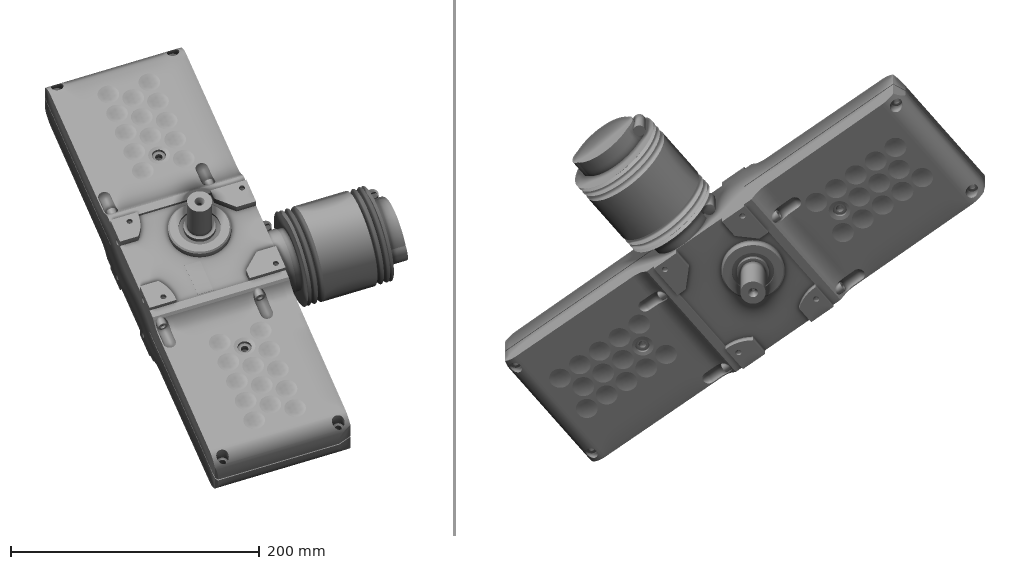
import cadquery as cq
import math

OVERALL_LENGTH = 404.0
BODY_DEPTH = 116.5

BOX_HALF_WIDTH = 46.0
BOX_HALF_HEIGHT = 27.5
PAD_TOP = 33.5
PAD_INNER_X = 23.5
REAR_PAD_START = 85.5
REAR_PAD_CHAMFER = 14.0
FRONT_PAD_SIDE_DEPTH = 23.0
FRONT_PAD_INNER_DEPTH = 15.8
FRONT_PAD_CROWN = (33.0, 21.0)
PAD_HOLE_X = 39.5
PAD_HOLES_Y = (14.0, 110.3)
PAD_HOLE_DIAMETER = 5.0
FACE_HOLE_X = 30.5
FACE_HOLE_Z = 24.2
FACE_HOLE_DIAMETER = 6.0
THREAD_DEPTH = 8.0
DRILL_POINT_ANGLE = 118
PLATE_LENGTH = 30.7
PLATE_WIDTH = 13.5
PLATE_THICKNESS = 0.2
PLATE_CENTRE = (28.0, 49.0)

SHAFT_X = -15.0
SHAFT_Y = 65.0
SHAFT_DIAMETER = 20.0
SHAFT_HALF_LENGTH = 69.0
FLANGE_DIAMETER = 51.0
FLANGE_TOP = 33.5
FLANGE_CHAMFER = 1.2
SEAL_DIAMETER = 34.0
SEAL_DEPTH = 2.0
COLLAR_DIAMETER = 26.0
COLLAR_TOP = 35.0
CENTRE_HOLE_DIAMETER = 3.2
CENTRE_SINK_DIAMETER = 8.0
CENTRE_HOLE_DEPTH = 12.0
CENTRE_SINK_ANGLE = 60

ROOT_HALF_HEIGHT = 30.0
ROOT_EDGE_X = 53.5
ROOT_CHAMFER = (2.0, 1.5)
ROOT_BLEND_X = 68.0
BROAD_HALF_HEIGHT = 22.5
NOSE_HALF_HEIGHT = 21.5
NOSE_RADIUS = 15.8
REAR_CORNER = (4.0, 11.0)
FRONT_CORNER = (3.0, 1.5)
SEAM_WIDTH = 1.2
SEAM_DEPTH = 1.2
TIP_HOLE_X = 194.0
TIP_HOLES_Y = (8.5, 107.5)
TIP_HOLE_DIAMETER = 5.5
TIP_BORE_DIAMETER = 10.0
TIP_BORE_FLOOR = 10.0
DIMPLE_PITCH = 20.0
DIMPLE_DIAMETER = 17.5
DIMPLE_DEPTH = 1.2
DIMPLE_CENTRE_X = 131.0
DIMPLE_CENTRE_Y = 61.5
DIMPLES_PER_OUTER_ROW = 5
VALVE_SEAT_DIAMETER = 11.5
VALVE_SEAT_DEPTH = 3.2
VALVE_HOLE_DIAMETER = 6.0
VALVE_HOLE_DEPTH = 8.0
SCREW_Z = 24.0
SCREWS_Y = (6.0, 89.3)
SCALLOP_RADIUS = 5.3
SCALLOP_END_X = 81.5
SCREW_HEAD_DIAMETER = 8.0
SCREW_HEAD_X = 60.5
SCREW_SOCKET_DIAMETER = 4.5
SCREW_SOCKET_DEPTH = 2.0

COUPLING_X = 17.5
COUPLING_END = 220.0
COUPLING_RADIUS = 40.0
DRUM_START = 145.5
DRUM_END = 190.5
LIP_OFFSETS = (5.5, 11.0, 14.0)
VALLEY_RADII = (32.5, 30.7, 36.5)
INNER_HUB_RADIUS = 27.0
INNER_HUB_NECK_RADIUS = 26.3
INNER_HUB_NECK_START = 126.0
OUTER_HUB_HALF_HEIGHT = 23.0
OUTER_HUB_HALF_WIDTH = 30.7
OUTER_HUB_CORNER = (25.5, 9.5)
CLAMP_SCREW_OFFSET = 31.5
CLAMP_SCREW_DIAMETER = 9.5
CLAMP_SCREW_HALF_LENGTH = 9.5
DRIVE_SLOT_WIDTH = 2.5
DRIVE_SLOT_LENGTH = 6.5
DRIVE_SLOT_DEPTH = 2.0

HALF_LENGTH = OVERALL_LENGTH / 2
NOSE_START_X = HALF_LENGTH - NOSE_RADIUS
NOSE_FLAT_HALF_HEIGHT = NOSE_HALF_HEIGHT - NOSE_RADIUS
SHAFT_BOTH_SIDES = 2 * SHAFT_HALF_LENGTH
DIMPLE_ROW_PITCH = DIMPLE_PITCH * math.sqrt(3) / 2
DRUM_MIDDLE = (DRUM_START + DRUM_END) / 2
BELLOWS_START = DRUM_START - LIP_OFFSETS[-1]
BELLOWS_END = DRUM_END + LIP_OFFSETS[-1]


def cylinder(diameter, length, base, direction):
    """Solid cylinder that starts at base and runs along direction."""
    return cq.Workplane(cq.Solid.makeCylinder(diameter / 2, length, cq.Vector(*base), cq.Vector(*direction)))


def drilled_hole(diameter, depth, mouth, direction):
    """Blind hole with a conical drill point."""
    point_depth = diameter / 2 / math.tan(math.radians(DRILL_POINT_ANGLE / 2))
    outline = [(0, 0), (diameter / 2, 0), (diameter / 2, depth), (0, depth + point_depth)]
    tool = cq.Workplane("XZ").polyline(outline).close().revolve(360, (0, 0), (0, 1))
    plane = cq.Plane(origin=mouth, normal=direction)
    return cq.Workplane(tool.val().located(cq.Location(plane)))


def with_mirror(shape, plane):
    """The shape together with its mirror image about a plane through the origin."""
    return shape.union(shape.mirror(plane))


def mounting_pads():
    """Two left pads on the upper face, repeated to the right and on the lower face."""
    height = PAD_TOP - BOX_HALF_HEIGHT
    upper_face = cq.Workplane("XY").workplane(offset=BOX_HALF_HEIGHT)
    rear = (
        upper_face.moveTo(-BOX_HALF_WIDTH, BODY_DEPTH)
        .lineTo(-PAD_INNER_X, BODY_DEPTH)
        .lineTo(-PAD_INNER_X, REAR_PAD_START + REAR_PAD_CHAMFER)
        .lineTo(-PAD_INNER_X - REAR_PAD_CHAMFER, REAR_PAD_START)
        .lineTo(-BOX_HALF_WIDTH, REAR_PAD_START)
        .close()
        .extrude(height)
    )
    crown_x, crown_y = FRONT_PAD_CROWN
    front = (
        upper_face.moveTo(-BOX_HALF_WIDTH, 0)
        .lineTo(-PAD_INNER_X, 0)
        .lineTo(-PAD_INNER_X, FRONT_PAD_INNER_DEPTH)
        .threePointArc((-crown_x, crown_y), (-BOX_HALF_WIDTH, FRONT_PAD_SIDE_DEPTH))
        .close()
        .extrude(height)
    )
    pads = rear.union(front)
    for y in PAD_HOLES_Y:
        pads = pads.cut(drilled_hole(PAD_HOLE_DIAMETER, height / 2, (-PAD_HOLE_X, y, PAD_TOP), (0, 0, -1)))
    return with_mirror(with_mirror(pads, "YZ"), "XY")


def bearing_flange():
    """Upper bearing flange with its seal recess, repeated on the lower face."""
    height = FLANGE_TOP - BOX_HALF_HEIGHT
    flange = (
        cylinder(FLANGE_DIAMETER, height, (SHAFT_X, SHAFT_Y, BOX_HALF_HEIGHT), (0, 0, 1))
        .faces(">Z")
        .chamfer(FLANGE_CHAMFER)
        .cut(cylinder(SEAL_DIAMETER, SEAL_DEPTH, (SHAFT_X, SHAFT_Y, FLANGE_TOP - SEAL_DEPTH), (0, 0, 1)))
    )
    return with_mirror(flange, "XY")


def make_gearbox():
    box = (
        cq.Workplane("XY")
        .box(2 * BOX_HALF_WIDTH, BODY_DEPTH, 2 * BOX_HALF_HEIGHT)
        .translate((0, BODY_DEPTH / 2, 0))
        .union(mounting_pads())
        .union(bearing_flange())
    )
    name_plate = (
        cq.Workplane("XY")
        .workplane(offset=BOX_HALF_HEIGHT)
        .center(*PLATE_CENTRE)
        .rect(PLATE_LENGTH, PLATE_WIDTH)
        .extrude(PLATE_THICKNESS)
    )
    box = box.union(name_plate)
    for x in (-FACE_HOLE_X, FACE_HOLE_X):
        for z in (-FACE_HOLE_Z, FACE_HOLE_Z):
            box = box.cut(drilled_hole(FACE_HOLE_DIAMETER, THREAD_DEPTH, (x, 0, z), (0, 1, 0)))
    shaft_bore = cylinder(SHAFT_DIAMETER, SHAFT_BOTH_SIDES, (SHAFT_X, SHAFT_Y, -SHAFT_HALF_LENGTH), (0, 0, 1))
    return box.cut(shaft_bore)


def make_shaft():
    shaft = cylinder(SHAFT_DIAMETER, SHAFT_BOTH_SIDES, (SHAFT_X, SHAFT_Y, -SHAFT_HALF_LENGTH), (0, 0, 1))
    collar_base = FLANGE_TOP - SEAL_DEPTH
    collar = cylinder(COLLAR_DIAMETER, COLLAR_TOP - collar_base, (SHAFT_X, SHAFT_Y, collar_base), (0, 0, 1))
    shaft = shaft.union(with_mirror(collar, "XY"))
    for end in (">Z", "<Z"):
        shaft = (
            shaft.faces(end)
            .workplane(centerOption="CenterOfMass")
            .cskHole(CENTRE_HOLE_DIAMETER, CENTRE_SINK_DIAMETER, CENTRE_SINK_ANGLE, CENTRE_HOLE_DEPTH)
        )
    return shaft


def arm_upper_profile():
    """Right-hand arm above Z = 0: flat root, hollow blend, slightly tapered face and rounded nose."""
    blend_top = (ROOT_EDGE_X + ROOT_CHAMFER[0], ROOT_HALF_HEIGHT - ROOT_CHAMFER[1])
    blend_length = ROOT_BLEND_X - blend_top[0]
    blend_rise = blend_top[1] - BROAD_HALF_HEIGHT
    blend_radius = (blend_length**2 + blend_rise**2) / (2 * blend_rise)
    half_turn = math.atan2(blend_rise, blend_length)
    blend_middle = (
        ROOT_BLEND_X - blend_radius * math.sin(half_turn),
        BROAD_HALF_HEIGHT + blend_radius * (1 - math.cos(half_turn)),
    )
    nose_middle = (
        NOSE_START_X + NOSE_RADIUS * math.sqrt(0.5),
        NOSE_FLAT_HALF_HEIGHT + NOSE_RADIUS * math.sqrt(0.5),
    )
    return (
        cq.Workplane("XZ")
        .moveTo(BOX_HALF_WIDTH, 0)
        .lineTo(BOX_HALF_WIDTH, ROOT_HALF_HEIGHT)
        .lineTo(ROOT_EDGE_X, ROOT_HALF_HEIGHT)
        .lineTo(*blend_top)
        .threePointArc(blend_middle, (ROOT_BLEND_X, BROAD_HALF_HEIGHT))
        .lineTo(NOSE_START_X, NOSE_HALF_HEIGHT)
        .threePointArc(nose_middle, (HALF_LENGTH, NOSE_FLAT_HALF_HEIGHT))
        .lineTo(HALF_LENGTH, 0)
        .close()
    )


def arm_plan(inset):
    """Plan outline of the arm with its cut tip corners, drawn in by inset on the free sides."""
    tip = HALF_LENGTH - inset
    rear = BODY_DEPTH - inset
    outline = [
        (BOX_HALF_WIDTH, inset),
        (tip - FRONT_CORNER[0], inset),
        (tip, inset + FRONT_CORNER[1]),
        (tip, rear - REAR_CORNER[1]),
        (tip - REAR_CORNER[0], rear),
        (BOX_HALF_WIDTH, rear),
    ]
    return cq.Workplane("XY").polyline(outline).close()


def parting_seam():
    """Narrow groove around the free sides of the arm at mid height."""
    outside = arm_plan(0).extrude(SEAM_WIDTH / 2, both=True)
    inside = arm_plan(SEAM_DEPTH).extrude(SEAM_WIDTH / 2, both=True)
    return outside.cut(inside)


def face_height(x):
    """Height of the tapered broad face at a distance x from the middle."""
    fraction = (x - ROOT_BLEND_X) / (NOSE_START_X - ROOT_BLEND_X)
    return BROAD_HALF_HEIGHT + fraction * (NOSE_HALF_HEIGHT - BROAD_HALF_HEIGHT)


def dimple(x, y):
    """Ball that cuts one shallow round dimple into the upper face."""
    ball_radius = (DIMPLE_DIAMETER**2 / 4 + DIMPLE_DEPTH**2) / (2 * DIMPLE_DEPTH)
    centre_z = face_height(x) - DIMPLE_DEPTH + ball_radius
    ball = cq.Workplane("XZ").sphere(ball_radius)
    return ball.translate((x, y, centre_z))


def dimple_places():
    """Centres of a five, four, five staggered field."""
    places = []
    for row in (-1, 0, 1):
        count = DIMPLES_PER_OUTER_ROW - (1 if row == 0 else 0)
        for index in range(count):
            x = DIMPLE_CENTRE_X + (index - (count - 1) / 2) * DIMPLE_PITCH
            places.append((x, DIMPLE_CENTRE_Y + row * DIMPLE_ROW_PITCH))
    return places


def valve_seat():
    """Stepped hole in the innermost dimple of the middle row."""
    x = DIMPLE_CENTRE_X - (DIMPLES_PER_OUTER_ROW - 2) / 2 * DIMPLE_PITCH
    mouth = (x, DIMPLE_CENTRE_Y, face_height(x))
    seat = cylinder(VALVE_SEAT_DIAMETER, VALVE_SEAT_DEPTH, mouth, (0, 0, -1))
    return seat.union(drilled_hole(VALVE_HOLE_DIAMETER, VALVE_HOLE_DEPTH, mouth, (0, 0, -1)))


def screw_scallop(y):
    """Ball-ended clearance for one clamping screw, running into the root blend."""
    ball_x = SCALLOP_END_X - SCALLOP_RADIUS
    channel = cylinder(2 * SCALLOP_RADIUS, ball_x - ROOT_EDGE_X, (ROOT_EDGE_X, y, SCREW_Z), (1, 0, 0))
    ball = cq.Workplane("XY").sphere(SCALLOP_RADIUS).translate((ball_x, y, SCREW_Z))
    return channel.union(ball)


def screw_head(y):
    """Socket head of one clamping screw."""
    head = cylinder(SCREW_HEAD_DIAMETER, SCREW_HEAD_X - ROOT_EDGE_X, (ROOT_EDGE_X, y, SCREW_Z), (1, 0, 0))
    socket = cylinder(SCREW_SOCKET_DIAMETER, SCREW_SOCKET_DEPTH, (SCREW_HEAD_X, y, SCREW_Z), (-1, 0, 0))
    return head.cut(socket)


def tip_bore(y):
    """Wide upper part of a fixing hole at the arm tip."""
    return cylinder(TIP_BORE_DIAMETER, NOSE_HALF_HEIGHT, (TIP_HOLE_X, y, TIP_BORE_FLOOR), (0, 0, 1))


def make_right_arm():
    upper = arm_upper_profile().extrude(-BODY_DEPTH).cut(valve_seat())
    for x, y in dimple_places():
        upper = upper.cut(dimple(x, y))
    for y in TIP_HOLES_Y:
        upper = upper.cut(tip_bore(y))
    for y in SCREWS_Y:
        upper = upper.cut(screw_scallop(y))
        upper = upper.union(screw_head(y))
    arm = with_mirror(upper, "XY")
    arm = arm.intersect(arm_plan(0).extrude(ROOT_HALF_HEIGHT, both=True))
    for y in TIP_HOLES_Y:
        start = (TIP_HOLE_X, y, -NOSE_HALF_HEIGHT)
        arm = arm.cut(cylinder(TIP_HOLE_DIAMETER, 2 * NOSE_HALF_HEIGHT, start, (0, 0, 1)))
    return arm.cut(parting_seam())


def make_bellows():
    """Drum with sharp turned lips on both ends, from one outline of (radius, Y) points."""
    upper = [(COUPLING_RADIUS, DRUM_END)]
    valley_start = DRUM_END
    for offset, valley_radius in zip(LIP_OFFSETS, VALLEY_RADII):
        lip = DRUM_END + offset
        upper.append((valley_radius, (valley_start + lip) / 2))
        upper.append((COUPLING_RADIUS, lip))
        valley_start = lip
    upper.append((0, BELLOWS_END))
    lower = [(radius, 2 * DRUM_MIDDLE - y) for radius, y in reversed(upper)]
    return cq.Workplane("XY").polyline(upper + lower).close().revolve(360, (0, 0), (0, 1))


def clamp_screw(y):
    """Upright slotted screw beside a hub."""
    screw = cylinder(
        CLAMP_SCREW_DIAMETER,
        2 * CLAMP_SCREW_HALF_LENGTH,
        (-CLAMP_SCREW_OFFSET, y, -CLAMP_SCREW_HALF_LENGTH),
        (0, 0, 1),
    )
    drive_slot = (
        cq.Workplane("XY")
        .box(DRIVE_SLOT_WIDTH, DRIVE_SLOT_LENGTH, 2 * DRIVE_SLOT_DEPTH)
        .translate((-CLAMP_SCREW_OFFSET, y, CLAMP_SCREW_HALF_LENGTH))
    )
    return screw.cut(drive_slot)


def make_inner_hub():
    """Round hub against the gearbox, with a stepped neck and a web that carries its clamp screw."""
    length = INNER_HUB_NECK_START - BODY_DEPTH
    middle = (BODY_DEPTH + INNER_HUB_NECK_START) / 2
    neck = cylinder(2 * INNER_HUB_NECK_RADIUS, BELLOWS_START - BODY_DEPTH, (0, BODY_DEPTH, 0), (0, 1, 0))
    hub = cylinder(2 * INNER_HUB_RADIUS, length, (0, BODY_DEPTH, 0), (0, 1, 0))
    screw_space = (
        cq.Workplane("XY")
        .box(CLAMP_SCREW_OFFSET, length, 2 * CLAMP_SCREW_HALF_LENGTH)
        .translate((-CLAMP_SCREW_OFFSET, middle, 0))
    )
    web = (
        cq.Workplane("XY")
        .box(CLAMP_SCREW_OFFSET, length / 2, CLAMP_SCREW_HALF_LENGTH)
        .translate((-CLAMP_SCREW_OFFSET / 2, middle, 0))
    )
    return hub.union(neck).cut(screw_space).union(web).union(clamp_screw(middle))


def make_outer_hub():
    """Flattened hub: two broad curves and two tighter end curves, with its clamp screw at one end."""
    corner_x, corner_z = OUTER_HUB_CORNER
    hub = (
        cq.Workplane("XZ", origin=(0, COUPLING_END, 0))
        .moveTo(-corner_x, corner_z)
        .threePointArc((0, OUTER_HUB_HALF_HEIGHT), (corner_x, corner_z))
        .threePointArc((OUTER_HUB_HALF_WIDTH, 0), (corner_x, -corner_z))
        .threePointArc((0, -OUTER_HUB_HALF_HEIGHT), (-corner_x, -corner_z))
        .threePointArc((-OUTER_HUB_HALF_WIDTH, 0), (-corner_x, corner_z))
        .close()
        .extrude(COUPLING_END - BELLOWS_END)
    )
    return hub.union(clamp_screw((BELLOWS_END + COUPLING_END) / 2))


def make_coupling():
    coupling = make_bellows().union(make_inner_hub()).union(make_outer_hub())
    return coupling.translate((COUPLING_X, 0, 0))


gearbox = make_gearbox()
shaft = make_shaft()
right_arm = make_right_arm()
left_arm = right_arm.mirror("YZ")
coupling = make_coupling()

result = cq.Compound.makeCompound(
    [gearbox.val(), shaft.val(), left_arm.val(), right_arm.val(), coupling.val()]
)